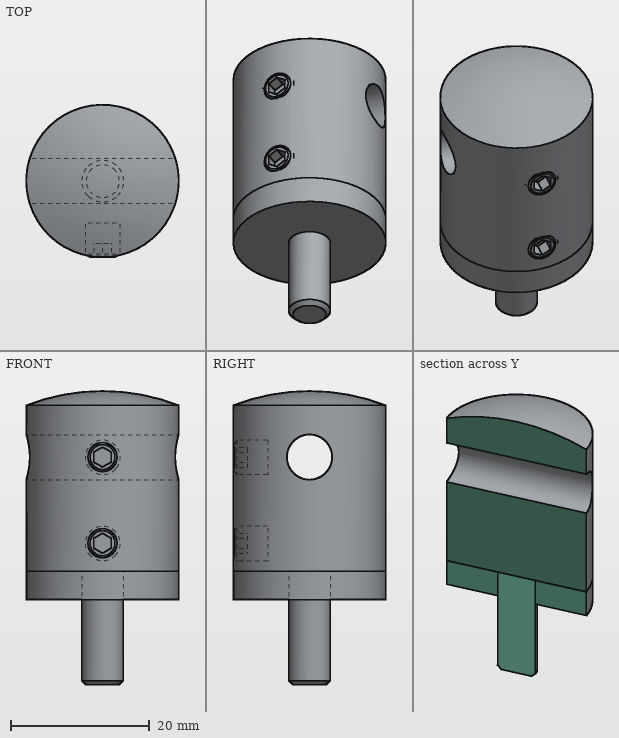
import cadquery as cq
import math

TOTAL_HEIGHT = 42.35
BODY_DIAMETER = 22.0
BODY_RADIUS = BODY_DIAMETER / 2

STUD_LENGTH_BELOW = 12.3
STUD_DIAMETER = 6.0
STUD_CHAMFER = 0.65

BASE_HEIGHT = 4.05

DOME_HEIGHT = 2.08
HOLDER_TOP = TOTAL_HEIGHT - STUD_LENGTH_BELOW
SHOULDER_Z = HOLDER_TOP - DOME_HEIGHT
ROD_HOLE_DIAMETER = 6.5
ROD_HOLE_Z = 20.55

SCREW_DIAMETER = 5.0
SCREW_END_DIAMETER = 3.6
SCREW_CHAMFER_ANGLE = 35
SCREW_LENGTH = 5.0
SCREW_MOUTH_DIAMETER = 4.2
SCREW_SPACING = 12.4
SCREW_HEIGHTS = [ROD_HOLE_Z, ROD_HOLE_Z - SCREW_SPACING]
SOCKET_ACROSS_FLATS = 2.5
SOCKET_DEPTH = 2.0


def facing_front(z):
    """Workplane on the front tangent plane of the holder, with its normal along -Y."""
    return cq.Workplane("XZ", origin=(0, -BODY_RADIUS, z))


def make_stud():
    """Plain stud that runs through the base and is chamfered at its lower end."""
    return (
        cq.Workplane("XY", origin=(0, 0, -STUD_LENGTH_BELOW))
        .circle(STUD_DIAMETER / 2)
        .extrude(STUD_LENGTH_BELOW + BASE_HEIGHT)
        .faces("<Z")
        .chamfer(STUD_CHAMFER)
    )


def make_base():
    """Flat disc with a through hole for the stud."""
    return (
        cq.Workplane("XY")
        .circle(BODY_RADIUS)
        .circle(STUD_DIAMETER / 2)
        .extrude(BASE_HEIGHT)
    )


def make_screw_blank(z):
    """Set screw without its socket: a cylinder whose outer end is a shallow cone frustum."""
    chamfer_width = (SCREW_DIAMETER - SCREW_END_DIAMETER) / 2
    chamfer_depth = chamfer_width * math.tan(math.radians(SCREW_CHAMFER_ANGLE))
    return (
        cq.Workplane("XY", origin=(0, -BODY_RADIUS, z))
        .lineTo(SCREW_END_DIAMETER / 2, 0)
        .lineTo(SCREW_DIAMETER / 2, chamfer_depth)
        .lineTo(SCREW_DIAMETER / 2, SCREW_LENGTH)
        .lineTo(0, SCREW_LENGTH)
        .close()
        .revolve(360, (0, 0, 0), (0, 1, 0))
    )


def make_holder():
    """Domed cylinder with a cross hole along X and a narrow-mouthed blind hole per set screw."""
    dome_radius = (BODY_RADIUS**2 + DOME_HEIGHT**2) / (2 * DOME_HEIGHT)
    mid_angle = math.asin(BODY_RADIUS / dome_radius) / 2
    dome_mid_x = dome_radius * math.sin(mid_angle)
    dome_mid_z = HOLDER_TOP - dome_radius * (1 - math.cos(mid_angle))
    holder = (
        cq.Workplane("XZ")
        .moveTo(0, BASE_HEIGHT)
        .lineTo(BODY_RADIUS, BASE_HEIGHT)
        .lineTo(BODY_RADIUS, SHOULDER_Z)
        .threePointArc((dome_mid_x, dome_mid_z), (0, HOLDER_TOP))
        .close()
        .revolve(360, (0, 0, 0), (0, 1, 0))
    )
    rod_hole = (
        cq.Workplane("YZ", origin=(0, 0, ROD_HOLE_Z))
        .circle(ROD_HOLE_DIAMETER / 2)
        .extrude(BODY_RADIUS, both=True)
    )
    holder = holder.cut(rod_hole)
    for z in SCREW_HEIGHTS:
        mouth = facing_front(z).circle(SCREW_MOUTH_DIAMETER / 2).extrude(-SCREW_LENGTH)
        holder = holder.cut(mouth).cut(make_screw_blank(z))
    return holder


def make_set_screw(z):
    """Set screw with a hexagonal socket that has two vertical flats."""
    socket = (
        facing_front(z)
        .polygon(6, SOCKET_ACROSS_FLATS, circumscribed=True)
        .extrude(-SOCKET_DEPTH)
    )
    return make_screw_blank(z).cut(socket)


stud = make_stud()
base = make_base()
holder = make_holder()
set_screws = [make_set_screw(z) for z in SCREW_HEIGHTS]

result = cq.Compound.makeCompound(
    [
        stud.val(),
        base.val(),
        holder.val(),
        *[screw.val() for screw in set_screws],
    ]
)